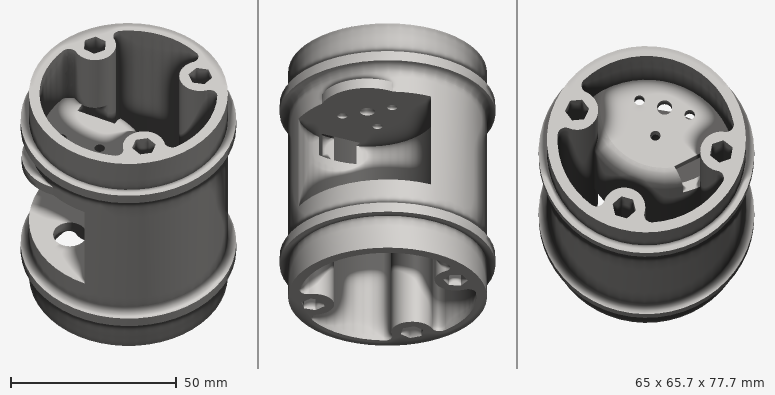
import cadquery as cq
import math

height = 77.7
flange_diameter = 65.05
flange_radius = flange_diameter / 2
tube_radius = 30.0
bore_radius = 26.8
flange_low = 11.0
flange_thickness = 3.2
cove_radius = flange_radius - tube_radius

boss_circle_radius = 22.9
boss_radius = 6.4
boss_fillet = 2.4
hex_corner_diameter = 7.3
boss_angles = (-7.2, 90.0, 187.2)

chamber_y = -18.65
chamber_radius = 21.3
chamber_floor = 23.6
chamber_ceiling = height - chamber_floor
plate_thickness = 3.3
shell_radius = 24.4
shell_fillet = 5.0
shell_bottom = chamber_floor - plate_thickness
shell_top = chamber_ceiling + plate_thickness

lip_radius = 14.5
ceiling_hole_diameter = 4.6
small_hole_diameter = 3.1
small_hole_side = 7.9
small_hole_back = 9.5
floor_hole_diameter = 10.1

notch_length = 12.5
notch_start = 18.1
notch_depth = 6.2
notch_direction = 135.0


def cylinder(radius, bottom, top, x=0.0, y=0.0):
    """Vertical cylinder between two heights."""
    return cq.Workplane("XY", origin=(x, y, bottom)).circle(radius).extrude(top - bottom)


def boss_center(angle):
    radians = math.radians(angle)
    return boss_circle_radius * math.cos(radians), boss_circle_radius * math.sin(radians)


def lower_flange():
    """Solid flange disc with a concave cove above it."""
    flange_top = flange_low + flange_thickness
    cove_top = flange_top + cove_radius
    cove_offset = cove_radius * math.sqrt(0.5)
    profile = (
        cq.Workplane("XZ")
        .moveTo(0, flange_low)
        .lineTo(flange_radius, flange_low)
        .lineTo(flange_radius, flange_top)
        .threePointArc((flange_radius - cove_offset, cove_top - cove_offset), (tube_radius, cove_top))
        .lineTo(0, cove_top)
        .close()
    )
    return profile.revolve(360, (0, 0, 0), (0, 1, 0))


def outer_body():
    """Tube carrying a flange at each end, coves facing the middle."""
    flange = lower_flange()
    upper_flange = flange.mirror("XY").translate((0, 0, height))
    return cylinder(tube_radius, 0, height).union(flange).union(upper_flange)


def bore():
    """Space inside the tube wall, less the bosses, with blended boss roots."""
    space = cylinder(bore_radius, 0, height)
    for angle in boss_angles:
        x, y = boss_center(angle)
        space = space.cut(cylinder(boss_radius, 0, height, x, y))
    return space.edges("|Z").fillet(boss_fillet)


def corner_block(near, bottom, top, side_start, width):
    """Block at the rear left of the chamber, turned to face its axis."""
    block = cq.Workplane("XY").box(shell_radius, width, top - bottom, centered=False)
    block = block.translate((near, side_start, bottom))
    block = block.rotate((0, 0, 0), (0, 0, 1), notch_direction)
    return block.translate((0, chamber_y, 0))


def chamber_shell():
    """Rounded shell whose top edge stays square from the notch to the left wall."""
    square = cylinder(shell_radius, shell_bottom, shell_top, y=chamber_y)
    rounded = square.faces(">Z").edges().fillet(shell_fillet)
    square_zone = corner_block(0, shell_bottom, shell_top, -notch_length / 2, 2 * shell_radius)
    shell = rounded.union(square.intersect(square_zone))
    return shell.intersect(cylinder(tube_radius, 0, height))


def notch():
    """Notch through shell and ceiling, also trimming the boss inside the shell radius."""
    block = corner_block(notch_start, chamber_ceiling - notch_depth, shell_top,
                         -notch_length / 2, notch_length)
    return block.intersect(cylinder(shell_radius, 0, height, y=chamber_y))


def ceiling_holes():
    holes = cylinder(ceiling_hole_diameter / 2, chamber_ceiling, shell_top, y=chamber_y)
    for x, back in ((-small_hole_side, 0), (small_hole_side, 0), (0, small_hole_back)):
        holes = holes.union(
            cylinder(small_hole_diameter / 2, chamber_ceiling, shell_top, x, chamber_y + back))
    return holes


def hex_passage(angle):
    """Hexagon with two corners pointing along the tube wall."""
    passage = cq.Workplane("XY").polygon(6, hex_corner_diameter).extrude(height)
    passage = passage.rotate((0, 0, 0), (0, 0, 1), angle + 90)
    x, y = boss_center(angle)
    return passage.translate((x, y, 0))


result = outer_body().cut(bore()).union(chamber_shell())
result = result.union(cylinder(lip_radius, chamber_ceiling, shell_top, y=chamber_y))
result = result.cut(cylinder(chamber_radius, chamber_floor, chamber_ceiling, y=chamber_y))
result = result.cut(cylinder(floor_hole_diameter / 2, shell_bottom, chamber_floor, y=chamber_y))
result = result.cut(ceiling_holes()).cut(notch())
for boss_angle in boss_angles:
    result = result.cut(hex_passage(boss_angle))